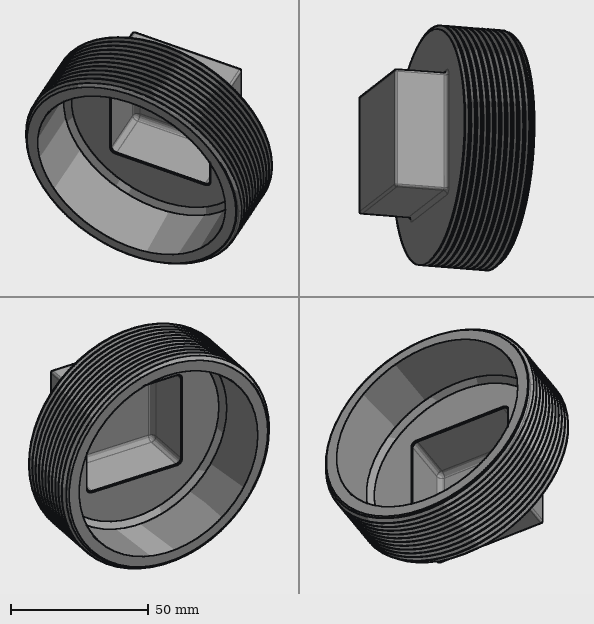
import cadquery as cq
import math

overall_length = 47.0

major_radius = 43.9
body_length = 27.0
wall_thickness = 3.0
end_chamfer = 1.7

thread_turns = 11.7
pitch = body_length / thread_turns
thread_half_angle = math.radians(55 / 2)
sharp_height = pitch / (2 * math.tan(thread_half_angle))
thread_depth = sharp_height * 2 / 3
root_radius = major_radius - thread_depth
crest_width = pitch / 6
crest_from_back = 1.4
thread_overrun = 8.8
ridge_embed = 0.2

cavity_diameter = 76.0
cavity_depth = body_length - wall_thickness
cavity_chamfer = 2.1

head_width = 44.1
head_fillet = 0.9
head_root_fillet = 1.5

pocket_width = 39.9
pocket_height = 38.0
pocket_depth = overall_length - wall_thickness
pocket_fillet = 2.0
pocket_mouth_chamfer = 0.4
pocket_mouth_angle = 45


def plane_at(y):
    """XZ plane whose normal points along +Y."""
    return cq.Plane(origin=(0, y, 0), xDir=(1, 0, 0), normal=(0, 1, 0))


def make_core():
    """Cylinder at the thread root, longer than the body at both ends."""
    length = body_length + 2 * thread_overrun
    return cq.Workplane(plane_at(-thread_overrun)).circle(root_radius).extrude(length)


def make_thread_ridge():
    """Right-handed helical ridge, running past both ends of the body."""
    turns = math.ceil(thread_turns) + 1
    start_y = body_length - crest_from_back + pitch - turns * pitch
    base_radius = root_radius - ridge_embed
    half_crest = crest_width / 2
    half_base = half_crest + (major_radius - base_radius) * math.tan(thread_half_angle)

    path = cq.Workplane(cq.Wire.makeHelix(pitch, turns * pitch, major_radius))
    profile = (
        cq.Workplane("XZ")
        .moveTo(base_radius, -half_base)
        .lineTo(major_radius, -half_crest)
        .lineTo(major_radius, half_crest)
        .lineTo(base_radius, half_base)
        .close()
    )
    ridge = profile.sweep(path, isFrenet=True)
    ridge = ridge.rotate((0, 0, 0), (0, 0, 1), 180)
    ridge = ridge.rotate((0, 0, 0), (1, 0, 0), -90)
    return ridge.translate((0, start_y, 0))


def make_end_trim():
    """45 degree cone that chamfers the thread at the open face and ends it flat at the back."""
    rim_radius = major_radius - end_chamfer
    return (
        cq.Workplane("XY")
        .moveTo(0, 0)
        .lineTo(rim_radius, 0)
        .lineTo(rim_radius + body_length, body_length)
        .lineTo(0, body_length)
        .close()
        .revolve(360, (0, 0, 0), (0, 1, 0))
    )


def make_head():
    """Square head on the round web that closes the threaded body."""
    head = (
        cq.Workplane(plane_at(cavity_depth))
        .rect(head_width, head_width)
        .extrude(overall_length - cavity_depth)
    )
    head = head.edges("|Y or >Y").fillet(head_fillet)
    web = (
        cq.Workplane(plane_at(cavity_depth))
        .circle(cavity_diameter / 2)
        .extrude(body_length - cavity_depth)
    )
    closed_head = web.union(head)
    web_back = closed_head.faces("|Y").faces(">Y[-2]").val()
    root_edges = web_back.innerWires()[0].Edges()
    return closed_head.newObject(root_edges).fillet(head_root_fillet)


def make_cavity():
    """Round cavity with a cone between its wall and its floor."""
    cavity = cq.Workplane(plane_at(0)).circle(cavity_diameter / 2).extrude(cavity_depth)
    return cavity.faces(">Y").edges().chamfer(cavity_chamfer)


def make_pocket():
    """Rectangular pocket with rounded corners and floor edges."""
    pocket = (
        cq.Workplane(plane_at(cavity_depth))
        .rect(pocket_width, pocket_height)
        .extrude(pocket_depth - cavity_depth)
    )
    return pocket.edges("|Y or >Y").fillet(pocket_fillet)


def make_pocket_mouth():
    """Flare around the mouth of the pocket."""
    flare = 2 * pocket_mouth_chamfer
    outline = (
        cq.Sketch()
        .rect(pocket_width + flare, pocket_height + flare)
        .vertices()
        .fillet(pocket_fillet + pocket_mouth_chamfer)
    )
    mouth = cq.Workplane(plane_at(cavity_depth)).placeSketch(outline)
    return mouth.extrude(pocket_mouth_chamfer, taper=pocket_mouth_angle)


threaded_body = make_core().union(make_thread_ridge()).intersect(make_end_trim())
plug = threaded_body.union(make_head())
result = plug.cut(make_cavity()).cut(make_pocket()).cut(make_pocket_mouth())